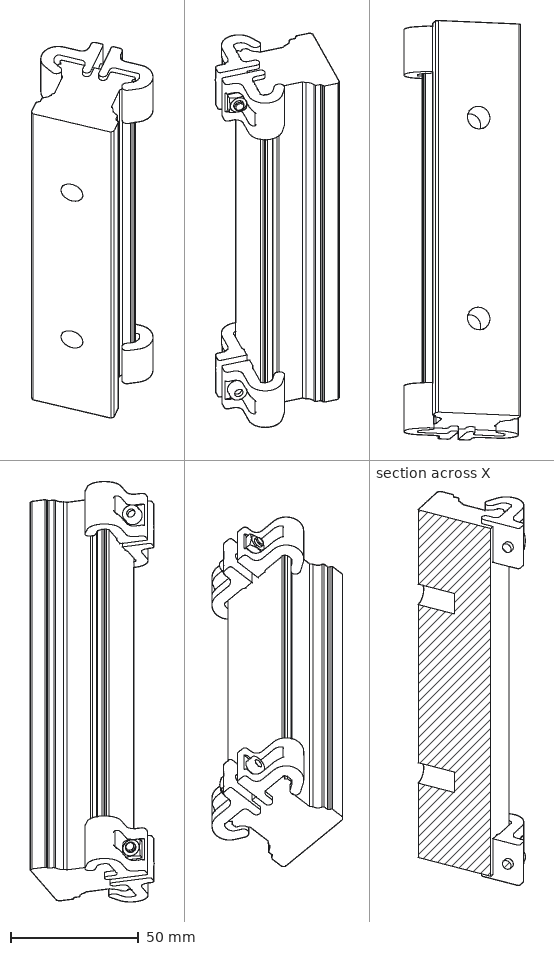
import cadquery as cq
import math

TOTAL_LENGTH = 160.0
RAIL_LENGTH = 156.0
CLAMP_LENGTH = 18.0
HOLE_SPACING = 80.0

RAIL_HEIGHT = 32.2
BASE_WIDTH = 34.0
BASE_HALF_WIDTH = BASE_WIDTH / 2
BASE_CHAMFER = 1.0
FLANGE_WIDTH = 31.2
FLANGE_HALF_WIDTH = FLANGE_WIDTH / 2
NECK_WIDTH = 23.5
NECK_HALF_WIDTH = NECK_WIDTH / 2
NECK_MID_HEIGHT = 18.5
HOLE_DIAMETER = 9.0
HOLE_DEPTH = 16.0

SHOULDER_POINTS = [(BASE_HALF_WIDTH, 6.4), (16.6, 6.9), (16.0, 7.2), (FLANGE_HALF_WIDTH, 7.7)]

FLANK_NECK_END = (NECK_HALF_WIDTH, 4.8)
FLANK_ARC_START = (12.6, 6.0)
FLANK_ARC_MIDDLE = (13.5, 7.5)
FLANK_ARC_END = (15.0, 8.5)
FLANK_OUTER_END = (FLANGE_HALF_WIDTH, 9.0)

HEAD_SIDE_POINTS = [(FLANGE_HALF_WIDTH, 29.5), (14.7, 30.0), (14.7, 30.4), (FLANGE_HALF_WIDTH, 31.4)]
HEAD_TOP_HALF_WIDTH = 15.2

SELECTION_REACH = 0.02

CLAMP_TOP = 43.8
CLAMP_WIDTH = 45.6
CLAMP_HALF_WIDTH = CLAMP_WIDTH / 2
HOOK_GAP = 3.4
HOOK_INNER = HOOK_GAP / 2
WALL_THICKNESS = 4.8
WALL_OUTER = HOOK_INNER + WALL_THICKNESS
WALL_OUTER_CORNER = 1.5
WALL_INNER_CORNER = 1.0
ARM_TOP = 37.5
ARM_THICKNESS = 4.8
ARM_BOTTOM = ARM_TOP - ARM_THICKNESS
ARM_WALL_FILLET = 3.0
ARM_LEG_FILLET = 2.0
ARM_BEND_FILLET = 1.1
LEG_THICKNESS = 3.4
LEG_OUTER = HOOK_INNER + LEG_THICKNESS
LEG_BOTTOM = 26.4
BEND_OUTER_RADIUS = 6.9
BEND_INNER_RADIUS = 3.5
BEND_THICKNESS = 5.3
BEND_INNER_REACH = CLAMP_HALF_WIDTH - BEND_THICKNESS
TIP_ANGLE = math.radians(30)
TIP_FLANK_LENGTH = 4.3
TIP_RADIUS = 2.0

SEAT_WIDTH = 9.0
SEAT_FACE = 5.8
SEAT_END = 19.8

BOLT_HEIGHT = 39.2
SHANK_DIAMETER = 4.0
BOLT_END = 10.4
BOLT_END_CHAMFER = 0.4
HEAD_DIAMETER = 7.0
HEAD_END = 9.3
HEAD_EDGE_RADIUS = 0.3
SOCKET_DIAMETER = 3.4
SOCKET_DEPTH = 1.6
NUT_WIDTH = 7.0
NUT_END = 9.0
NUT_FACE_DIAMETER = 6.7
NUT_CONE_ANGLE = math.radians(30)


def rail_profile():
    """Rail cross-section: base, neck and head, symmetric about X = 0."""
    flank = [FLANK_NECK_END, FLANK_ARC_START, FLANK_ARC_MIDDLE, FLANK_ARC_END, FLANK_OUTER_END]
    lower = [(x, NECK_MID_HEIGHT - distance) for x, distance in reversed(flank)]
    upper = [(x, NECK_MID_HEIGHT + distance) for x, distance in flank]

    half = cq.Workplane("XY").lineTo(BASE_HALF_WIDTH - BASE_CHAMFER, 0)
    half = half.lineTo(BASE_HALF_WIDTH, BASE_CHAMFER)
    for point in SHOULDER_POINTS:
        half = half.lineTo(*point)
    for outer, arc_from, arc_middle, arc_to, inner in (lower, upper):
        half = half.lineTo(*outer).lineTo(*arc_from).threePointArc(arc_middle, arc_to).lineTo(*inner)
    for point in HEAD_SIDE_POINTS:
        half = half.lineTo(*point)
    half = half.lineTo(HEAD_TOP_HALF_WIDTH, RAIL_HEIGHT).lineTo(0, RAIL_HEIGHT)
    return half.mirrorY()


def rail_body(clamps):
    """Rail with two blind holes in its base and grooves that fit the clamp legs."""
    rail = rail_profile().extrude(RAIL_LENGTH).translate((0, 0, (TOTAL_LENGTH - RAIL_LENGTH) / 2))
    hole_places = [(0, (TOTAL_LENGTH + side * HOLE_SPACING) / 2) for side in (-1, 1)]
    holes = cq.Workplane("XZ").pushPoints(hole_places).circle(HOLE_DIAMETER / 2).extrude(-HOLE_DEPTH)
    rail = rail.cut(holes)
    for clamp in clamps:
        rail = rail.cut(clamp)
    return rail


def along(start, direction, distance):
    """Point at a distance from the start in the given direction."""
    return (start[0] + direction[0] * distance, start[1] + direction[1] * distance)


def hook_profile():
    """Right-hand hook outline before its corners are rounded, and its corner below the arm."""
    down_flank = (-math.cos(TIP_ANGLE), -math.sin(TIP_ANGLE))
    outward = (math.sin(TIP_ANGLE), -math.cos(TIP_ANGLE))

    bend_centre = (CLAMP_HALF_WIDTH - BEND_OUTER_RADIUS, ARM_TOP - BEND_OUTER_RADIUS)
    flank_start = along(bend_centre, outward, BEND_OUTER_RADIUS)
    flank_end = along(flank_start, down_flank, TIP_FLANK_LENGTH)

    tip_centre = along(flank_end, outward, -TIP_RADIUS)
    tip_point = along(tip_centre, down_flank, TIP_RADIUS)
    tip_inner = along(tip_centre, outward, -TIP_RADIUS)

    inner_x = BEND_INNER_REACH - BEND_INNER_RADIUS
    climb = (inner_x - tip_inner[0]) * math.tan(TIP_ANGLE) + BEND_INNER_RADIUS / math.cos(TIP_ANGLE)
    inner_centre = (inner_x, tip_inner[1] + climb)
    inner_start = along(inner_centre, outward, BEND_INNER_RADIUS)
    arm_rise = ARM_BOTTOM - inner_centre[1]
    inner_end = (inner_x + math.sqrt(BEND_INNER_RADIUS**2 - arm_rise**2), ARM_BOTTOM)

    leg_radius = LEG_THICKNESS / 2
    leg_arc_height = LEG_BOTTOM + leg_radius
    profile = (
        cq.Workplane("XY")
        .moveTo(HOOK_INNER, CLAMP_TOP)
        .lineTo(WALL_OUTER, CLAMP_TOP)
        .lineTo(WALL_OUTER, ARM_TOP)
        .lineTo(bend_centre[0], ARM_TOP)
        .threePointArc((CLAMP_HALF_WIDTH, bend_centre[1]), flank_start)
        .lineTo(*flank_end)
        .threePointArc(tip_point, tip_inner)
        .lineTo(*inner_start)
        .threePointArc((BEND_INNER_REACH, inner_centre[1]), inner_end)
        .lineTo(LEG_OUTER, ARM_BOTTOM)
        .lineTo(LEG_OUTER, leg_arc_height)
        .threePointArc((HOOK_INNER + leg_radius, LEG_BOTTOM), (HOOK_INNER, leg_arc_height))
        .close()
    )
    return profile, inner_end


def fillet_long_edge(body, x, y, radius):
    """Round the edge that runs along Z at (x, y)."""
    reach = SELECTION_REACH
    corner_box = cq.selectors.BoxSelector(
        (x - reach, y - reach, 0),
        (x + reach, y + reach, CLAMP_LENGTH),
    )
    return body.edges(corner_box).fillet(radius)


def rod(diameter, x_start, x_end):
    """Cylinder along the bolt axis."""
    plane = cq.Workplane("YZ", origin=(x_start, BOLT_HEIGHT, CLAMP_LENGTH / 2))
    return plane.circle(diameter / 2).extrude(x_end - x_start)


def seat_cutter():
    """Slot with a round bottom, open towards +Y."""
    rise = CLAMP_TOP - BOLT_HEIGHT
    plane = cq.Workplane("YZ", origin=(SEAT_FACE, BOLT_HEIGHT + rise / 2, CLAMP_LENGTH / 2))
    slot = plane.rect(rise, SEAT_WIDTH).extrude(SEAT_END - SEAT_FACE)
    return rod(SEAT_WIDTH, SEAT_FACE, SEAT_END).union(slot)


def hook():
    """Right-hand hook with rounded corners and a seat for the bolt head or nut."""
    profile, bend_corner = hook_profile()
    body = profile.extrude(CLAMP_LENGTH)
    body = fillet_long_edge(body, HOOK_INNER, CLAMP_TOP, WALL_INNER_CORNER)
    body = fillet_long_edge(body, WALL_OUTER, CLAMP_TOP, WALL_OUTER_CORNER)
    body = fillet_long_edge(body, WALL_OUTER, ARM_TOP, ARM_WALL_FILLET)
    body = fillet_long_edge(body, LEG_OUTER, ARM_BOTTOM, ARM_LEG_FILLET)
    body = fillet_long_edge(body, *bend_corner, ARM_BEND_FILLET)
    return body.cut(seat_cutter())


def bolt():
    """Round-headed bolt: head with a round socket at +X, chamfered end at -X."""
    shank = rod(SHANK_DIAMETER, -BOLT_END, SEAT_FACE).faces("<X").chamfer(BOLT_END_CHAMFER)
    head = rod(HEAD_DIAMETER, SEAT_FACE, HEAD_END).faces(">X").edges().fillet(HEAD_EDGE_RADIUS)
    socket = rod(SOCKET_DIAMETER, HEAD_END - SOCKET_DEPTH, HEAD_END)
    return shank.union(head).cut(socket)


def nut():
    """Square nut at -X whose outer corners are turned to a cone."""
    plane = cq.Workplane("YZ", origin=(-NUT_END, BOLT_HEIGHT, CLAMP_LENGTH / 2))
    block = plane.rect(NUT_WIDTH, NUT_WIDTH).extrude(NUT_END - SEAT_FACE)
    corner_radius = NUT_WIDTH / math.sqrt(2)
    cone_width = corner_radius - NUT_FACE_DIAMETER / 2
    cone_depth = cone_width * math.tan(NUT_CONE_ANGLE)
    envelope = rod(2 * corner_radius, -NUT_END, -SEAT_FACE).faces("<X")
    return block.intersect(envelope.chamfer(cone_depth, cone_width))


def clamp_body():
    """Two hooks tightened together by a bolt and nut, as one solid."""
    right_hook = hook()
    left_hook = right_hook.mirror("YZ")
    return right_hook.union(left_hook).union(bolt()).union(nut())


upper_clamp = clamp_body().translate((0, 0, TOTAL_LENGTH - CLAMP_LENGTH))
middle = TOTAL_LENGTH / 2
lower_clamp = upper_clamp.rotate((0, 0, middle), (0, 1, middle), 180)
clamps = [upper_clamp, lower_clamp]
rail = rail_body(clamps)

result = cq.Compound.makeCompound([rail.val(), *[clamp.val() for clamp in clamps]])